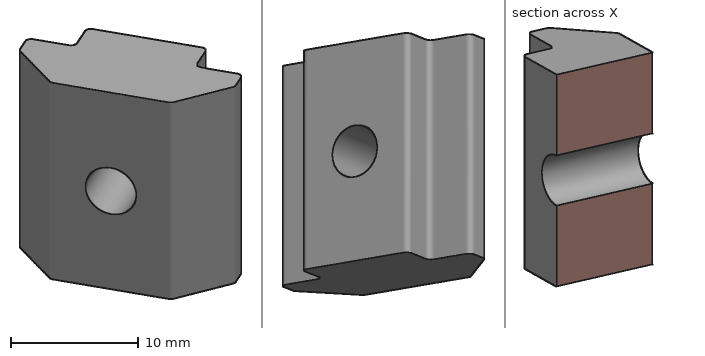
import cadquery as cq

width = 17.9
depth = 9.0
length = 17.9

neck_width = 10.0
neck_depth = 3.0
front_width = 10.0
bevel_depth = 4.0
edge_radius = 0.5

hole_diameter = 4.2


def make_body():
    """Extrude the T-shaped profile along Z, front face on Y = 0, centred on X and Z."""
    shoulder_y = depth - neck_depth
    right_half = [
        (front_width / 2, 0),
        (width / 2, bevel_depth),
        (width / 2, shoulder_y),
        (neck_width / 2, shoulder_y),
        (neck_width / 2, depth),
    ]
    left_half = [(-x, y) for x, y in reversed(right_half)]
    return (
        cq.Workplane("XY")
        .polyline(right_half + left_half)
        .close()
        .extrude(length / 2, both=True)
    )


def round_long_edges(body):
    """Round every profile corner, convex and concave alike."""
    return body.edges("|Z").fillet(edge_radius)


def make_hole():
    """Cylinder running through the full depth at the centre of the front face."""
    return cq.Workplane("XZ").circle(hole_diameter / 2).extrude(-depth)


result = round_long_edges(make_body()).cut(make_hole())